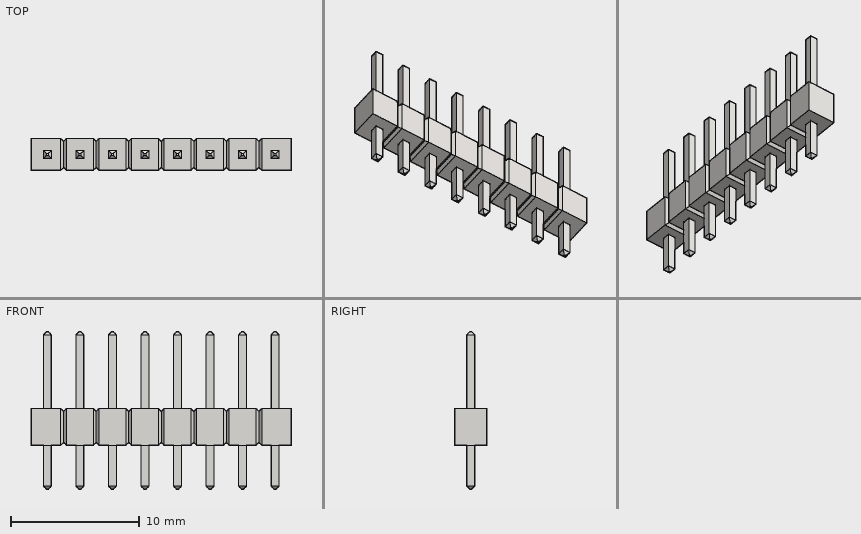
import cadquery as cq

pin_count = 8
pitch = 2.54
housing_depth = 2.5
housing_height = 2.88
groove_depth = 0.225
pin_width = 0.64
pin_length = 12.31
pin_above_housing = 6.0
tip_chamfer = 0.25

housing_length = pin_count * pitch
pin_bottom = housing_height / 2 + pin_above_housing - pin_length
first_pin_x = (pitch - housing_length) / 2


def notched_outline(plane, width):
    """Long rectangle with a V notch in both long edges at every cell boundary."""
    end_x = housing_length / 2
    edge = width / 2
    lower_edge = [(-end_x, -edge)]
    for boundary in range(1, pin_count):
        x = boundary * pitch - end_x
        lower_edge.append((x - groove_depth, -edge))
        lower_edge.append((x, groove_depth - edge))
        lower_edge.append((x + groove_depth, -edge))
    lower_edge.append((end_x, -edge))
    upper_edge = [(x, -y) for x, y in reversed(lower_edge)]
    return cq.Workplane(plane).polyline(lower_edge + upper_edge).close()


def make_pin(x):
    """Square pin with both ends chamfered to a blunt point."""
    pin = cq.Workplane("XY").box(pin_width, pin_width, pin_length, centered=(True, True, False))
    pin = pin.faces("<Z or >Z").chamfer(tip_chamfer)
    return pin.translate((x, 0, pin_bottom))


def make_housing(pins):
    """Row of cells grooved on all four long sides, with a square hole for each pin."""
    side_profile = notched_outline("XZ", housing_height).extrude(housing_depth / 2, both=True)
    plan_profile = notched_outline("XY", housing_depth).extrude(housing_height / 2, both=True)
    housing = side_profile.intersect(plan_profile)
    for pin in pins:
        housing = housing.cut(pin)
    return housing


pins = [make_pin(first_pin_x + index * pitch) for index in range(pin_count)]
housing = make_housing(pins)

result = cq.Compound.makeCompound([housing.val(), *[pin.val() for pin in pins]])